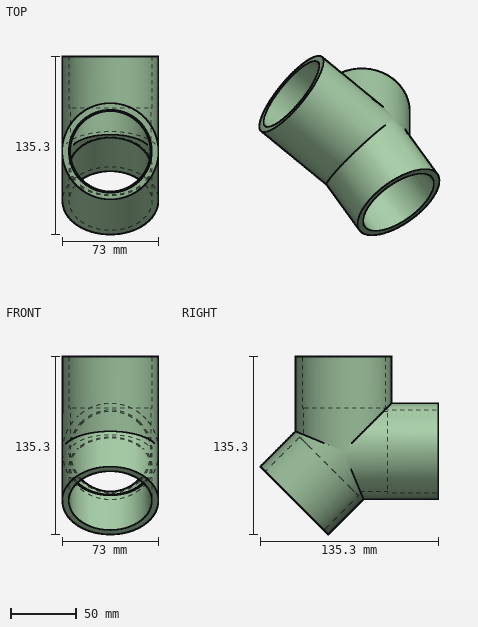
import cadquery as cq
import math

overall_size = 135.3
pipe_diameter = 73.0
socket_diameter = 63.0
bore_diameter = 61.0
straight_socket_depth = 39.0
branch_socket_depth = 37.1
straight_length = 72.0
branch_angle = math.radians(45)

branch_reach = overall_size - straight_length
branch_length = (branch_reach - pipe_diameter / 2 * math.sin(branch_angle)) / math.cos(branch_angle)

arms = [
    (cq.Vector(0, 0, 1), straight_length, straight_socket_depth),
    (cq.Vector(0, 1, 0), straight_length, straight_socket_depth),
    (cq.Vector(0, -math.cos(branch_angle), -math.sin(branch_angle)), branch_length, branch_socket_depth),
]


def arm_cylinder(diameter, direction, start, end):
    """Cylinder along an arm between two distances from the axis crossing."""
    return cq.Solid.makeCylinder(diameter / 2, end - start, direction * start, direction)


result = cq.Workplane("XY")
for direction, length, _ in arms:
    result = result.add(arm_cylinder(pipe_diameter, direction, 0, length))
result = result.combine()

for direction, length, socket_depth in arms:
    result = result.cut(arm_cylinder(bore_diameter, direction, 0, length))
    result = result.cut(arm_cylinder(socket_diameter, direction, length - socket_depth, length))